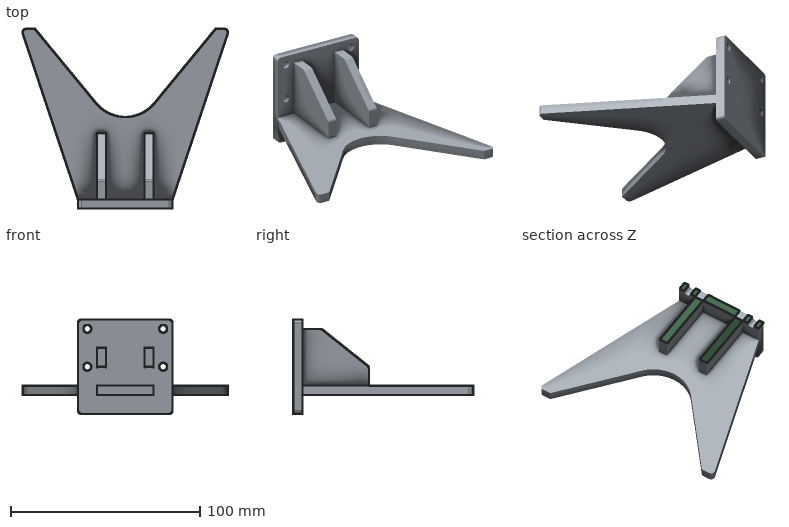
import cadquery as cq
import math


thickness = 5.0
plate_size = 50.0
corner_radius = 2.0
hole_diameter = 4.0
hole_spacing_x = 40.0
upper_hole_z = hole_spacing_x / 2
lower_hole_z = 0.0

fork_length = 90.0
fork_top_z = -10.0
fork_bottom_z = fork_top_z - thickness
fork_tongue_width = 30.0
overall_width = 108.5
side_steepness = 3.0
side_taper = math.atan(side_steepness)
outer_half_width = overall_width / 2 + corner_radius * (1 / math.tan(side_taper / 2) - 1)
mouth_half_width = 47.7
mouth_bottom_y = 43.5
mouth_radius = 20.0
mouth_centre_to_tip = fork_length - mouth_bottom_y - mouth_radius
mouth_slope = math.atan2(mouth_centre_to_tip, mouth_half_width) + math.asin(
    mouth_radius / math.hypot(mouth_centre_to_tip, mouth_half_width)
)

gusset_depth = 35.0
gusset_top_z = 20.0
gusset_nose_z = 0.0
gusset_flat = 10.0
gusset_x = (fork_tongue_width - thickness) / 2
tab_top_z = 9.9
tab_bottom_z = 0.1
tab_clearance = 0.27


def box_between(x_range, y_range, z_range):
    """Box spanning the given (low, high) range along each axis."""
    low, high = zip(x_range, y_range, z_range)
    size = [b - a for a, b in zip(low, high)]
    return cq.Workplane("XY").box(*size, centered=False).translate(low)


def through_plate(x_centre, width, bottom_z, top_z):
    """Block filling the plate thickness, used for both tabs and slots."""
    x_range = (x_centre - width / 2, x_centre + width / 2)
    return box_between(x_range, (-thickness, 0), (bottom_z, top_z))


def make_plate():
    """Square plate with four screw holes, two tab slots and a tongue slot."""
    plate = through_plate(0, plate_size, -plate_size / 2, plate_size / 2)
    plate = plate.edges("|Y").fillet(corner_radius)
    hole_points = [
        (side * hole_spacing_x / 2, z)
        for side in (-1, 1)
        for z in (lower_hole_z, upper_hole_z)
    ]
    holes = cq.Workplane("XZ").pushPoints(hole_points).circle(hole_diameter / 2).extrude(thickness)
    plate = plate.cut(holes)
    plate = plate.cut(through_plate(0, fork_tongue_width, fork_bottom_z, fork_top_z))
    for side in (-1, 1):
        slot = through_plate(
            side * gusset_x, thickness, tab_bottom_z - tab_clearance, tab_top_z + tab_clearance
        )
        plate = plate.cut(slot)
    return plate


def make_fork():
    """Flat two-pronged fork with a rounded mouth and a tongue through the plate."""
    arc_end_x = mouth_radius * math.sin(mouth_slope)
    arc_end_y = mouth_bottom_y + mouth_radius * (1 - math.cos(mouth_slope))
    fork = (
        cq.Workplane("XY", origin=(0, 0, fork_bottom_z))
        .moveTo(-plate_size / 2, 0)
        .lineTo(-outer_half_width, fork_length)
        .lineTo(-mouth_half_width, fork_length)
        .lineTo(-arc_end_x, arc_end_y)
        .threePointArc((0, mouth_bottom_y), (arc_end_x, arc_end_y))
        .lineTo(mouth_half_width, fork_length)
        .lineTo(outer_half_width, fork_length)
        .lineTo(plate_size / 2, 0)
        .close()
        .extrude(thickness)
    )
    outer_tips = fork.edges("|Z and (<X or >X)")
    fork = outer_tips.fillet(corner_radius)
    return fork.union(through_plate(0, fork_tongue_width, fork_bottom_z, fork_top_z))


def make_gusset(x_centre):
    """Upright sloped rib standing on the fork, with a tab through the plate."""
    gusset = (
        cq.Workplane("YZ", origin=(x_centre - thickness / 2, 0, 0))
        .moveTo(0, fork_top_z)
        .lineTo(gusset_depth, fork_top_z)
        .lineTo(gusset_depth, gusset_nose_z)
        .lineTo(gusset_flat, gusset_top_z)
        .lineTo(0, gusset_top_z)
        .close()
        .extrude(thickness)
    )
    sloping_face = gusset.faces(cq.selectors.DirectionMinMaxSelector(cq.Vector(0, 1, 1), True))
    slope_ends = sloping_face.edges("|X")
    gusset = slope_ends.fillet(corner_radius)
    return gusset.union(through_plate(x_centre, thickness, tab_bottom_z, tab_top_z))


plate = make_plate()
fork = make_fork()
gussets = [make_gusset(side * gusset_x) for side in (-1, 1)]

result = cq.Compound.makeCompound([plate.val(), fork.val(), *[gusset.val() for gusset in gussets]])